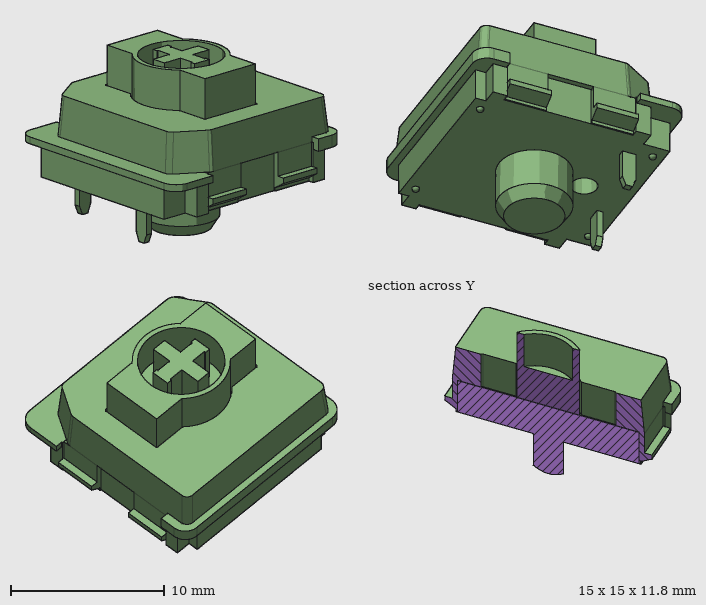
import cadquery as cq

BASE_TOP = 2.75
FLANGE_BOTTOM = 2.26
REAR_RIM_TOP = 3.12
COVER_TOP = 5.55
STEM_TOP = 8.3
PEG_LENGTH = 3.51
PIN_LENGTH = 2.64

FLANGE_SIZE = 15.0
FLANGE_RADIUS = 1.05
BASE_HALF = 7.0
NOTCH_X = 5.9
FRONT_NOTCH_Y = -5.12
REAR_NOTCH_Y = 6.27
SIDE_WALL_X = 6.5
BAY_FRONT_Y = -4.05
BAY_REAR_Y = 5.24
FLANGE_GAP_FRONT_Y = -4.12
FLANGE_GAP_REAR_Y = 5.28
PEG_DIAMETER = 5.05
PEG_TIP_DIAMETER = 4.0
PEG_TIP_HEIGHT = 0.81
LAMP_HOLE_DIAMETER = 1.8
LAMP_HOLE_Y = -3.6
BUMP_RADIUS = 0.25
BUMP_X = 4.94
BUMP_Y = 6.22

COVER_HALF = 6.87
COVER_REAR = 7.05
COVER_FRONT = -6.1
COVER_CUT_X = 1.55
COVER_CUT_Y = 2.45
COVER_CORNER_RADIUS = 0.5
COVER_DRAFT = 5.0
LEG_LENGTH = 3.0
HOOK_REACH = 7.4
HOOK_TOP = 1.1
HOOK_LIP_BOTTOM = 0.72
LEG_TAPER_END = 0.24
LEG_FOOT_X = 6.6

STEM_LENGTH = 9.39
STEM_WIDTH = 4.47
STEM_DIAMETER = 6.4
STEM_CLEARANCE = 0.1
OPENING_RADIUS = 0.1
BORE_DIAMETER = 5.7
CROSS_SPAN = 3.99
CROSS_ARM_Y_WIDTH = 1.05
CROSS_ARM_X_WIDTH = 1.1
CROSS_END_WIDTH = 1.3
CROSS_END_LENGTH = 0.38

PIN_WIDTH = 0.99
PIN_THICKNESS = 0.45
PIN_TIP_WIDTH = 0.48
PIN_TIP_HEIGHT = 0.63
SIDE_PIN_CENTRE = (-4.4, -4.68)
FRONT_PIN_CENTRE = (2.61, -5.75)


def block(x_range, y_range, z_range):
    """Axis-aligned box between pairs of limits."""
    (x0, x1), (y0, y1), (z0, z1) = x_range, y_range, z_range
    return cq.Workplane("XY").box(x1 - x0, y1 - y0, z1 - z0, centered=False).translate((x0, y0, z0))


def keyed_prism(length, width, diameter, corner_radius, bottom, top):
    """Bar with a coaxial cylinder bulging from both long sides."""
    bar = cq.Workplane("XY", origin=(0, 0, bottom)).rect(length, width).extrude(top - bottom)
    if corner_radius > 0:
        bar = bar.edges("|Z").fillet(corner_radius)
    barrel = cq.Workplane("XY", origin=(0, 0, bottom)).circle(diameter / 2).extrude(top - bottom)
    return bar.union(barrel)


def cover_outline():
    """Cover footprint at the seam, square with two slanted front corners."""
    cut_x = COVER_HALF - COVER_CUT_X
    cut_y = COVER_FRONT + COVER_CUT_Y
    corners = [
        (COVER_HALF, COVER_REAR),
        (-COVER_HALF, COVER_REAR),
        (-COVER_HALF, cut_y),
        (-cut_x, COVER_FRONT),
        (cut_x, COVER_FRONT),
        (COVER_HALF, cut_y),
    ]
    return cq.Workplane("XY", origin=(0, 0, BASE_TOP)).polyline(corners).close()


def cover_cap():
    """Drafted cap, solid, without opening or legs."""
    cap = cover_outline().extrude(COVER_TOP - BASE_TOP, taper=COVER_DRAFT)
    return cap.edges("not #Z").fillet(COVER_CORNER_RADIUS)


def cover_legs():
    """Four hooked snap legs below the cap, each filling one end of a side bay."""
    profile = [
        (SIDE_WALL_X, BASE_TOP),
        (COVER_HALF, BASE_TOP),
        (COVER_HALF, HOOK_TOP),
        (HOOK_REACH, HOOK_TOP),
        (HOOK_REACH, HOOK_LIP_BOTTOM),
        (LEG_FOOT_X, LEG_TAPER_END),
        (LEG_FOOT_X, 0),
        (SIDE_WALL_X, 0),
    ]
    legs = cq.Workplane("XY")
    for end_y in (BAY_FRONT_Y + LEG_LENGTH, BAY_REAR_Y):
        leg = cq.Workplane("XZ", origin=(0, end_y, 0)).polyline(profile).close().extrude(LEG_LENGTH)
        legs = legs.add(leg).add(leg.mirror("YZ"))
    return legs.combine()


def make_cover():
    """Cap with its legs and the keyed opening that guides the stem."""
    opening = keyed_prism(
        STEM_LENGTH + 2 * STEM_CLEARANCE,
        STEM_WIDTH + 2 * STEM_CLEARANCE,
        STEM_DIAMETER + 2 * STEM_CLEARANCE,
        OPENING_RADIUS,
        BASE_TOP,
        COVER_TOP,
    )
    return cover_cap().cut(opening).union(cover_legs())


def base_block():
    """Square block with notched corners and recessed side bays."""
    body = block((-BASE_HALF, BASE_HALF), (-BASE_HALF, BASE_HALF), (0, BASE_TOP))
    for side in (-1, 1):
        outer = side * FLANGE_SIZE / 2
        notch_x = tuple(sorted((side * NOTCH_X, outer)))
        bay_x = tuple(sorted((side * SIDE_WALL_X, outer)))
        body = body.cut(block(notch_x, (-FLANGE_SIZE / 2, FRONT_NOTCH_Y), (0, FLANGE_BOTTOM)))
        body = body.cut(block(notch_x, (REAR_NOTCH_Y, FLANGE_SIZE / 2), (0, FLANGE_BOTTOM)))
        body = body.cut(block(bay_x, (BAY_FRONT_Y, BAY_REAR_Y), (0, BASE_TOP)))
    return body


def base_flanges():
    """Front flange and thicker rear flange whose rim wraps the foot of the cover."""
    half = FLANGE_SIZE / 2
    plate = (
        cq.Workplane("XY", origin=(0, 0, FLANGE_BOTTOM))
        .rect(FLANGE_SIZE, FLANGE_SIZE)
        .extrude(REAR_RIM_TOP - FLANGE_BOTTOM)
        .edges("|Z")
        .fillet(FLANGE_RADIUS)
    )
    front = plate.intersect(block((-half, half), (-half, FLANGE_GAP_FRONT_Y), (FLANGE_BOTTOM, BASE_TOP)))
    rear = plate.intersect(block((-half, half), (FLANGE_GAP_REAR_Y, half), (FLANGE_BOTTOM, REAR_RIM_TOP)))
    side_clearance = block(
        (-COVER_HALF, COVER_HALF),
        (FLANGE_GAP_REAR_Y, COVER_REAR - COVER_CORNER_RADIUS),
        (BASE_TOP, REAR_RIM_TOP),
    )
    return front.union(rear.cut(cover_cap()).cut(side_clearance))


def centre_peg():
    """Round locating peg with a conical tip."""
    shaft_bottom = PEG_TIP_HEIGHT - PEG_LENGTH
    profile = [
        (0, 0),
        (PEG_DIAMETER / 2, 0),
        (PEG_DIAMETER / 2, shaft_bottom),
        (PEG_TIP_DIAMETER / 2, -PEG_LENGTH),
        (0, -PEG_LENGTH),
    ]
    return cq.Workplane("XZ").polyline(profile).close().revolve(360, (0, 0, 0), (0, 1, 0))


def make_base():
    """Block, flanges, centre peg and four stand-off bumps, with the lamp hole right through."""
    bumps = (
        cq.Workplane("XY")
        .rect(2 * BUMP_X, 2 * BUMP_Y, forConstruction=True)
        .vertices()
        .sphere(BUMP_RADIUS)
    )
    lamp_hole = (
        cq.Workplane("XY")
        .center(0, LAMP_HOLE_Y)
        .circle(LAMP_HOLE_DIAMETER / 2)
        .extrude(BASE_TOP)
    )
    return base_block().union(base_flanges()).union(centre_peg()).union(bumps).cut(lamp_hole)


def make_stem():
    """Keyed plunger with a cup in its top and a cross post standing in the cup."""
    body = keyed_prism(STEM_LENGTH, STEM_WIDTH, STEM_DIAMETER, 0, BASE_TOP, STEM_TOP)
    cup_depth = STEM_TOP - COVER_TOP
    cup_floor = cq.Workplane("XY", origin=(0, 0, COVER_TOP))
    cup = cup_floor.circle(BORE_DIAMETER / 2).extrude(cup_depth)
    arm_x = cup_floor.rect(CROSS_SPAN, CROSS_ARM_X_WIDTH).extrude(cup_depth)
    arm_y = cup_floor.rect(CROSS_ARM_Y_WIDTH, CROSS_SPAN).extrude(cup_depth)
    end_offset = (CROSS_SPAN - CROSS_END_LENGTH) / 2
    ends = (
        cup_floor.pushPoints([(-end_offset, 0), (end_offset, 0)])
        .rect(CROSS_END_LENGTH, CROSS_END_WIDTH)
        .extrude(cup_depth)
    )
    return body.cut(cup).union(arm_x).union(arm_y).union(ends)


def make_pin(centre, turn):
    """Flat contact blade with a tapered tip; turn 0 sets its width along X."""
    half = PIN_WIDTH / 2
    tip_half = PIN_TIP_WIDTH / 2
    shoulder = PIN_TIP_HEIGHT - PIN_LENGTH
    profile = [
        (-half, 0),
        (half, 0),
        (half, shoulder),
        (tip_half, -PIN_LENGTH),
        (-tip_half, -PIN_LENGTH),
        (-half, shoulder),
    ]
    blade = cq.Workplane("XZ").polyline(profile).close().extrude(PIN_THICKNESS / 2, both=True).solids()
    return blade.rotate((0, 0, 0), (0, 0, 1), turn).translate((*centre, 0))


base = make_base().solids()
cover = make_cover().solids()
stem = make_stem().solids()
pins = [make_pin(centre, turn) for centre, turn in ((SIDE_PIN_CENTRE, 90), (FRONT_PIN_CENTRE, 0))]

result = cq.Compound.makeCompound([base.val(), cover.val(), stem.val(), *[pin.val() for pin in pins]])